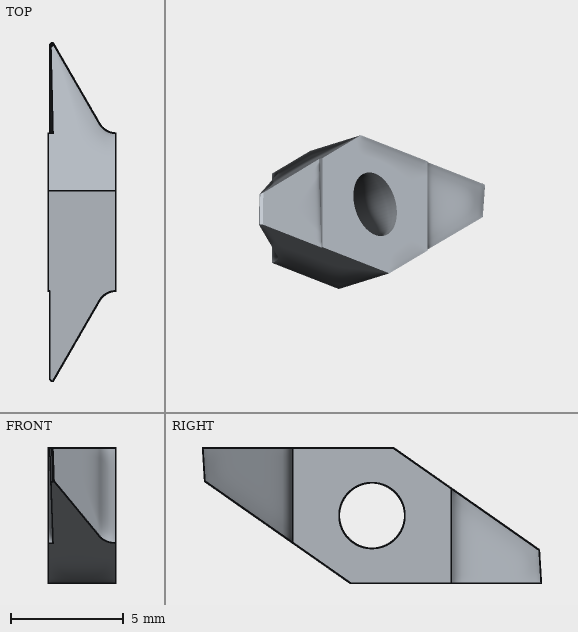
import cadquery as cq
import math

thickness = 3.0
length = 15.0
height = 6.0

body_half_length = 3.5
bevel_angle = 35.0
bevel_top_y = 0.95
hole_diameter = 2.9

side_offset = 0.07
flank_angle = 30.0
root_radius = 0.83
relief_angle = 4.0
tip_depth = 4.6
root_overlap = 0.5

end_face_inset = 0.09
end_face_width = 0.05
side_facet_length = 0.1
flank_facet_length = 0.15

half_height = height / 2
left_x = -thickness / 2
right_x = thickness / 2
tip_end_y = -length / 2
flank_sin = math.sin(math.radians(flank_angle))
flank_cos = math.cos(math.radians(flank_angle))

root_center = (right_x, -body_half_length - root_radius)


def point_on_root_arc(angle):
    """Point on the root arc at an angle in degrees from +X."""
    turn = math.radians(angle)
    return root_center[0] + root_radius * math.cos(turn), root_center[1] + root_radius * math.sin(turn)


flank_start_angle = 180 - flank_angle
flank_start = point_on_root_arc(flank_start_angle)


def flank_x(y):
    """X of the flank line at a given Y."""
    return flank_start[0] + (y - flank_start[1]) * flank_sin / flank_cos


def diamond_prism():
    """Diamond outline in the YZ plane, extruded through the thickness."""
    acute_corner_y = height / math.tan(math.radians(bevel_angle)) + bevel_top_y
    outline = [
        (-acute_corner_y, half_height),
        (bevel_top_y, half_height),
        (acute_corner_y, -half_height),
        (-bevel_top_y, -half_height),
    ]
    return cq.Workplane("YZ", origin=(left_x, 0, 0)).polyline(outline).close().extrude(thickness)


def tip_outline(workplane, depth):
    """Draw the -Y tip at a depth below its cutting edge.

    Relief slides the nose along the flank, so the flank stays upright while the nose and the
    offset side recede.
    """
    slide = depth * math.tan(math.radians(relief_angle))
    side_x = left_x + side_offset + slide * flank_sin
    end_y = tip_end_y + slide * flank_cos
    flank_end_y = end_y + flank_facet_length
    inner_y = -body_half_length + root_overlap
    return (
        workplane.moveTo(side_x, inner_y)
        .lineTo(side_x, end_y + side_facet_length)
        .lineTo(side_x + end_face_inset, end_y)
        .lineTo(side_x + end_face_inset + end_face_width, end_y)
        .lineTo(flank_x(flank_end_y), flank_end_y)
        .lineTo(*flank_start)
        .threePointArc(point_on_root_arc((flank_start_angle + 90) / 2), point_on_root_arc(90))
        .lineTo(right_x, inner_y)
        .close()
    )


def cutting_tip():
    """The -Y tip, with its cutting edge on the top face."""
    top = tip_outline(cq.Workplane("XY", origin=(0, 0, half_height)), 0)
    bottom = tip_outline(top.workplane(offset=-tip_depth), tip_depth)
    return bottom.loft(ruled=True, combine=True)


def body_block():
    """Full-thickness middle section between the two tips."""
    return cq.Workplane("XY").box(thickness, 2 * body_half_length, height)


def center_hole():
    """Screw hole through the thickness."""
    return cq.Workplane("YZ", origin=(left_x, 0, 0)).circle(hole_diameter / 2).extrude(thickness)


tip = cutting_tip()
opposite_tip = tip.rotate((0, 0, 0), (1, 0, 0), 180)
result = body_block().union(tip).union(opposite_tip).intersect(diamond_prism()).cut(center_hole())